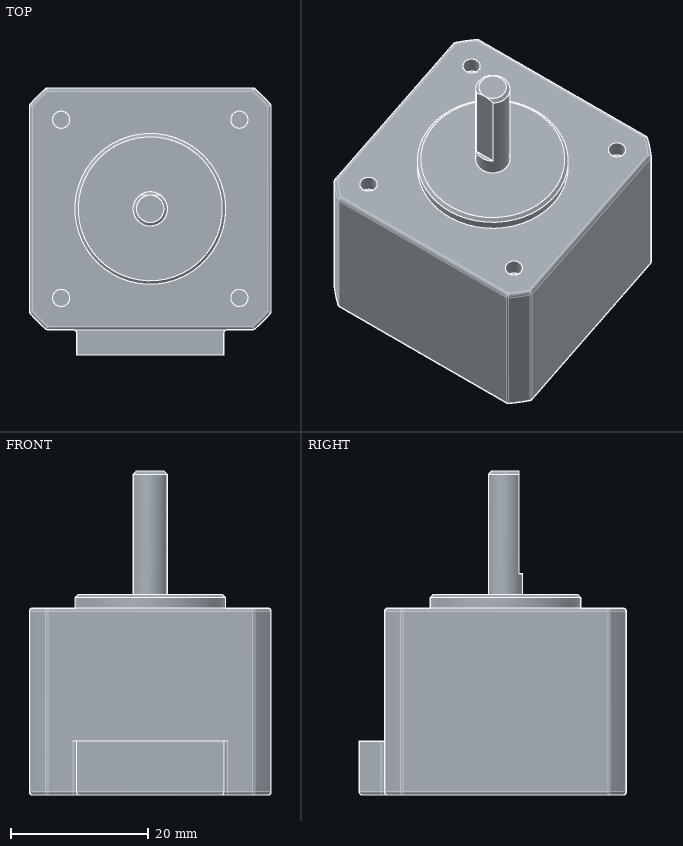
import cadquery as cq

body_width = 35.3
body_height = 27.3
corner_circle_diameter = 46.5
edge_radius = 0.5

boss_diameter = 22.0
boss_height = 2.0
boss_chamfer = 0.5
shaft_diameter = 5.0
shaft_length = 18.0
shaft_chamfer = 0.5
flat_distance = 2.0
flat_length = 15.0

hole_spacing = 26.0
hole_diameter = 2.5
hole_depth = 3.0

connector_width = 21.5
connector_height = 7.9
connector_reach = 3.7
connector_fillet = 0.5

half_width = body_width / 2
boss_top = body_height + boss_height
shaft_top = boss_top + shaft_length


def make_body():
    """Square block intersected with a cylinder, with its vertical edges rounded."""
    block = cq.Workplane("XY").rect(body_width, body_width).extrude(body_height)
    cylinder = cq.Workplane("XY").circle(corner_circle_diameter / 2).extrude(body_height)
    return block.intersect(cylinder).edges("|Z").fillet(edge_radius)


def add_connector(body):
    """Connector block blended into the -Y face, with the outer top and bottom rims rounded."""
    connector = (
        cq.Workplane("XY")
        .box(connector_width, half_width + connector_reach, connector_height,
             centered=(True, False, False))
        .translate((0, -half_width - connector_reach, 0))
    )
    joint_edges = cq.selectors.BoxSelector(
        (-half_width, -half_width - edge_radius / 2, 0),
        (half_width, -half_width + edge_radius / 2, connector_height),
    )
    joined = body.union(connector)
    joined = joined.edges(joint_edges).edges("|Z").fillet(connector_fillet)
    joined = joined.faces(">Z").edges().fillet(edge_radius)
    return joined.faces("<Z").edges().fillet(edge_radius)


def make_boss():
    """Round pilot boss with a chamfered top rim."""
    boss = cq.Workplane("XY").workplane(offset=body_height).circle(boss_diameter / 2).extrude(boss_height)
    return boss.faces(">Z").edges().chamfer(boss_chamfer)


def make_shaft():
    """Chamfered round shaft with a flat on its +Y side."""
    shaft = cq.Workplane("XY").workplane(offset=boss_top).circle(shaft_diameter / 2).extrude(shaft_length)
    shaft = shaft.faces(">Z").edges().chamfer(shaft_chamfer)
    flat_cutter = (
        cq.Workplane("XY")
        .box(shaft_diameter, shaft_diameter, flat_length, centered=(True, False, False))
        .translate((0, flat_distance, shaft_top - flat_length))
    )
    return shaft.cut(flat_cutter)


def make_mounting_holes():
    """Four blind holes sunk into the top face of the body."""
    return (
        cq.Workplane("XY")
        .workplane(offset=body_height)
        .rect(hole_spacing, hole_spacing, forConstruction=True)
        .vertices()
        .circle(hole_diameter / 2)
        .extrude(-hole_depth)
    )


motor = add_connector(make_body())
motor = motor.union(make_boss()).union(make_shaft())
result = motor.cut(make_mounting_holes())